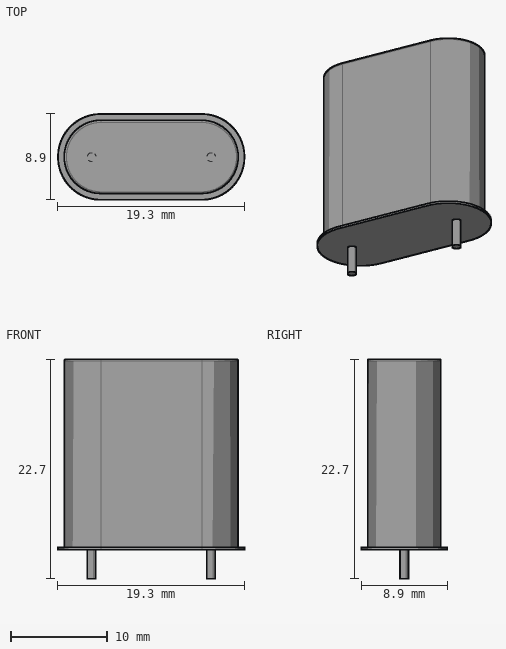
import cadquery as cq

total_height = 22.7
flange_length = 19.3
flange_width = 8.9
flange_thickness = 0.25

flange_rim = 0.65
can_length = flange_length - 2 * flange_rim
can_width = flange_width - 2 * flange_rim
can_edge_radius = 0.2

pin_diameter = 0.9
pin_length = 3.0
pin_spacing = 12.35
can_height = total_height - pin_length - flange_thickness


def stadium(length, width, height, base_z):
    """Upright prism with fully rounded ends, long side along X."""
    return cq.Workplane("XY").workplane(offset=base_z).slot2D(length, width).extrude(height)


flange = stadium(flange_length, flange_width, flange_thickness, 0)

can = stadium(can_length, can_width, can_height, flange_thickness)
can = can.faces(">Z").edges().fillet(can_edge_radius)

pins = (
    cq.Workplane("XY")
    .pushPoints([(-pin_spacing / 2, 0), (pin_spacing / 2, 0)])
    .circle(pin_diameter / 2)
    .extrude(-pin_length)
)

result = flange.union(can).union(pins)